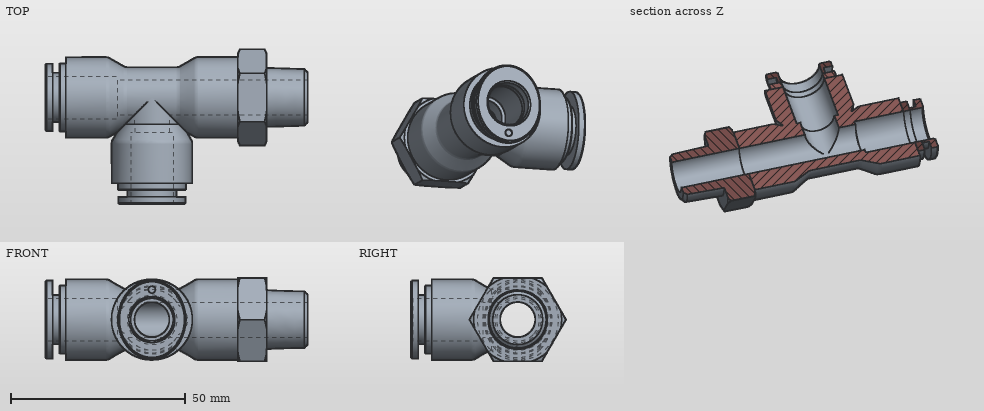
import cadquery as cq
import math


body_radius = 23.2 / 2
waist_radius = 17.4 / 2
shoulder_angle = math.radians(30)
shoulder_start = 7.65
shoulder_end = shoulder_start + (body_radius - waist_radius) / math.tan(shoulder_angle)
shoulder_fillet = 2.0
body_reach = 24.65
flow_radius = 10 / 2
socket_radius = 12.2 / 2
socket_floor = 10.0

ring_radius = 19.6 / 2
ring_bore_radius = 12.18 / 2
ring_front = 26.6
ring_chamfer = 0.3

collet_face = 30.6
collet_head_thickness = 2.1
collet_head_width = 19.4
collet_head_height = 22.5
collet_head_chamfer = 0.4
collet_neck_radius = 14.2 / 2
collet_bore_radius = 12.2 / 2
collet_mouth_chamfer = 0.5
dot_radius = 2 / 2
dot_offset = 8.6
dot_depth = 0.3

hex_flats = 24.0
hex_corner_radius = hex_flats / 2 / math.cos(math.radians(30))
hex_thickness = 8.25
hex_face_radius = 12.6
hex_bevel_length = 0.6
adapter_end = 44.7
thread_base_radius = 17.0 / 2
thread_tip_radius = 16.3 / 2
thread_chamfer = 1.0

LEFT_PORT = 180
BRANCH_PORT = -90

DOT_ABOVE = 1
DOT_BELOW = -1


def revolve_about_x(points):
    """Solid of revolution from (x, radius) points, closed along the X axis."""
    return cq.Workplane("XY").polyline(points).close().revolve(360, (0, 0, 0), (1, 0, 0))


def bar_along_x(start, end, radius):
    return cq.Workplane("YZ", origin=(start, 0, 0)).circle(radius).extrude(end - start)


def turn(part, angle):
    return part.rotate((0, 0, 0), (0, 0, 1), angle)


def edge_at(x):
    """Selector for the round edge that lies in the plane at x."""
    margin = 0.1
    reach = body_radius + margin
    low_corner = (x - margin, -reach, -reach)
    high_corner = (x + margin, reach, reach)
    return cq.selectors.BoxSelector(low_corner, high_corner, boundingbox=True)


def make_arm(round_waist):
    """Outside of one arm along +X: waist, conical shoulder and port cylinder."""
    arm = revolve_about_x([
        (0, 0),
        (0, waist_radius),
        (shoulder_start, waist_radius),
        (shoulder_end, body_radius),
        (body_reach, body_radius),
        (body_reach, 0),
    ])
    arm = arm.edges(edge_at(shoulder_end)).fillet(shoulder_fillet)
    if round_waist:
        arm = arm.edges(edge_at(shoulder_start)).fillet(shoulder_fillet)
    return arm


def make_body():
    run_arm = make_arm(round_waist=True)
    branch_arm = make_arm(round_waist=False)
    body = run_arm.union(turn(run_arm, LEFT_PORT)).union(turn(branch_arm, BRANCH_PORT))
    body = body.cut(bar_along_x(-body_reach, body_reach, flow_radius))
    body = body.cut(turn(bar_along_x(0, body_reach, flow_radius), BRANCH_PORT))
    for angle in (LEFT_PORT, BRANCH_PORT):
        body = body.cut(turn(bar_along_x(socket_floor, body_reach, socket_radius), angle))
    return body


def make_ring():
    ring = bar_along_x(body_reach, ring_front, ring_radius)
    ring = ring.faces(">X").edges().chamfer(ring_chamfer)
    return ring.cut(bar_along_x(body_reach, ring_front, ring_bore_radius))


def make_collet(dot_side):
    """Collet along +X; dot_side puts the marking dot above or below the axis."""
    head_back = collet_face - collet_head_thickness
    head = (
        cq.Workplane("YZ", origin=(head_back, 0, 0))
        .ellipse(collet_head_width / 2, collet_head_height / 2)
        .extrude(collet_head_thickness)
        .faces(">X").edges().chamfer(collet_head_chamfer)
    )
    collet = head.union(bar_along_x(ring_front, head_back, collet_neck_radius))
    collet = collet.cut(bar_along_x(ring_front, collet_face, collet_bore_radius))
    collet = collet.cut(revolve_about_x([
        (collet_face - collet_mouth_chamfer, 0),
        (collet_face - collet_mouth_chamfer, collet_bore_radius),
        (collet_face, collet_bore_radius + collet_mouth_chamfer),
        (collet_face, 0),
    ]))
    dot = bar_along_x(collet_face - dot_depth, collet_face, dot_radius)
    return collet.cut(dot.translate((0, 0, dot_side * dot_offset)))


def make_adapter():
    hex_end = body_reach + hex_thickness
    hexagon = (
        cq.Workplane("YZ", origin=(body_reach, 0, 0))
        .polygon(6, 2 * hex_corner_radius)
        .extrude(hex_thickness)
    )
    bevel = revolve_about_x([
        (body_reach, 0),
        (body_reach, hex_face_radius),
        (body_reach + hex_bevel_length, hex_corner_radius),
        (hex_end - hex_bevel_length, hex_corner_radius),
        (hex_end, hex_face_radius),
        (hex_end, 0),
    ])
    thread = revolve_about_x([
        (hex_end, 0),
        (hex_end, thread_base_radius),
        (adapter_end - thread_chamfer, thread_tip_radius),
        (adapter_end, thread_tip_radius - thread_chamfer),
        (adapter_end, 0),
    ])
    adapter = hexagon.intersect(bevel).union(thread)
    return adapter.cut(bar_along_x(body_reach, adapter_end, flow_radius))


body = make_body()
adapter = make_adapter()
rings = []
collets = []
for angle, dot_side in ((LEFT_PORT, DOT_BELOW), (BRANCH_PORT, DOT_ABOVE)):
    rings.append(turn(make_ring(), angle).val())
    collets.append(turn(make_collet(dot_side), angle).val())

result = cq.Compound.makeCompound([body.val(), adapter.val(), *rings, *collets])